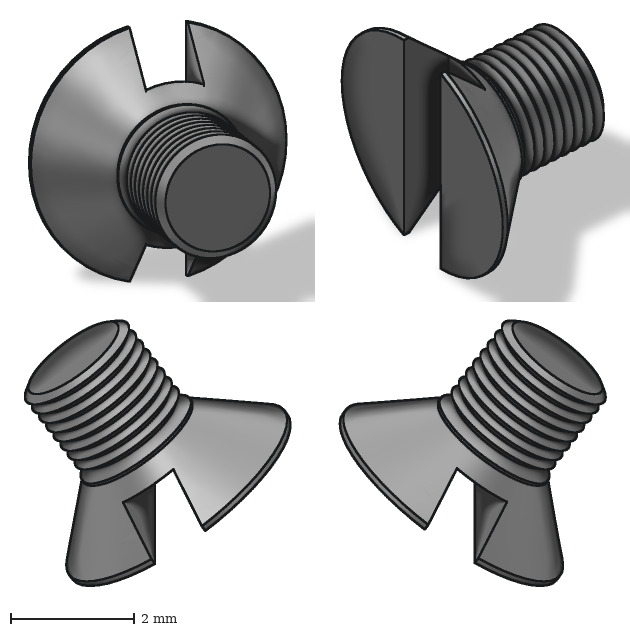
import cadquery as cq

length = 3.0
head_radius = 2.2
rim_thickness = 0.1
collar_radius = 1.1
collar_width = 0.05
slot_width = 1.0
slot_depth = 0.9

pitch = 0.2
thread_count = 8
crest_radius = 1.04
root_radius = 0.9

collar_start = rim_thickness + head_radius - collar_radius
collar_end = collar_start + collar_width
thread_start = length - thread_count * pitch


def make_body():
    """Revolve the half profile of head, collar and threaded shank."""
    profile = [
        (0, 0),
        (0, head_radius),
        (rim_thickness, head_radius),
        (collar_start, collar_radius),
        (collar_end, collar_radius),
        (thread_start, root_radius),
    ]
    for ring in range(thread_count):
        ring_start = thread_start + ring * pitch
        profile.append((ring_start + pitch / 2, crest_radius))
        profile.append((ring_start + pitch, root_radius))
    profile.append((length, 0))
    return cq.Workplane("XY").polyline(profile).close().revolve(360, (0, 0, 0), (1, 0, 0))


def make_slot():
    """Driver slot running along Z across the whole head."""
    slot_length = 2 * head_radius
    slot = cq.Workplane("XY").box(slot_depth, slot_width, slot_length)
    return slot.translate((slot_depth / 2, 0, 0))


result = make_body().cut(make_slot())